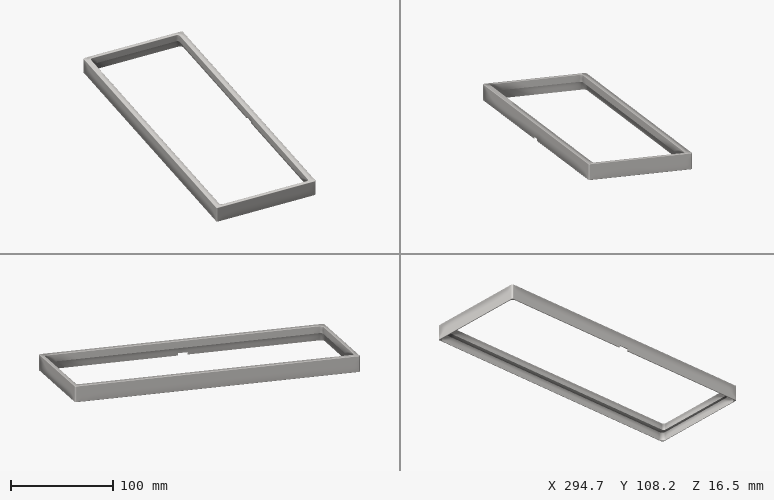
import cadquery as cq

length = 294.7
width = 108.2
height = 16.5
corner_radius = 1.5
edge_radius = 0.45

lip_side = 6.0
lip_end = 3.8
opening_corner_radius = 2.7

rebate_height = 9.0
skirt_thickness = 1.0
rebate_corner_radius = 4.0

notch_width = 10.0
notch_height = 2.5
notch_offset = 1.2


def rounded_prism(size_x, size_y, size_z, upright_radius):
    """Upright prism resting on Z = 0 with rounded vertical corners."""
    prism = cq.Workplane("XY").box(size_x, size_y, size_z, centered=(True, True, False))
    return prism.edges("|Z").fillet(upright_radius)


def make_lipped_frame():
    """Outer block with the upper opening cut through and its edges softened."""
    block = rounded_prism(length, width, height, corner_radius)
    opening = rounded_prism(
        length - 2 * lip_end, width - 2 * lip_side, height, opening_corner_radius
    )
    return block.cut(opening).faces("<Z or >Z").edges().fillet(edge_radius)


def make_rebate():
    return rounded_prism(
        length - 2 * skirt_thickness,
        width - 2 * skirt_thickness,
        rebate_height,
        rebate_corner_radius,
    )


def make_notch():
    """Block that reaches from the middle of the frame out through the +Y skirt."""
    block = cq.Workplane("XY").box(notch_width, width, notch_height, centered=(True, False, False))
    return block.translate((notch_offset, 0, 0))


result = make_lipped_frame().cut(make_rebate()).cut(make_notch())